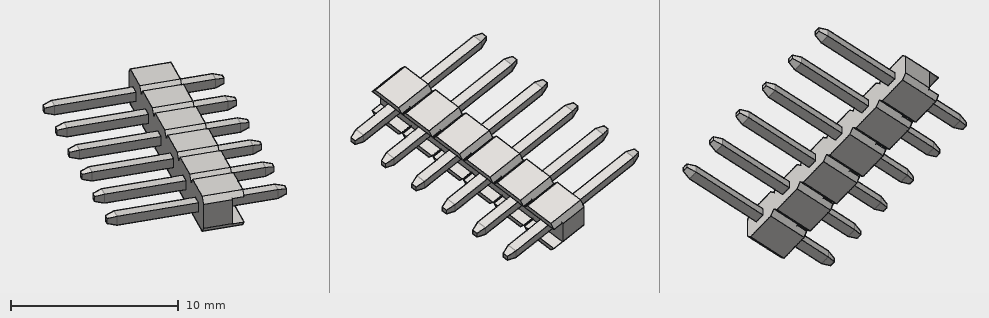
import cadquery as cq

PIN_COUNT = 6
PITCH = 2.54
HOUSING_LENGTH = PIN_COUNT * PITCH
HOUSING_DEPTH = 2.54
HOUSING_HEIGHT = 2.5
CHAMFER_X = 0.3
CHAMFER_Z = 0.4

CHANNEL_DEPTH = 0.73
CHANNEL_HEIGHT = 1.8

PIN_WIDTH = 0.64
TIP_WIDTH = 0.36
TIP_LENGTH = 0.58
FRONT_PROJECTION = 5.66
BACK_PROJECTION = 3.0
PIN_OFFSET_X = -0.1

FRONT_Y = -HOUSING_DEPTH / 2
BACK_Y = HOUSING_DEPTH / 2


def cell_center(index):
    """X position of the centre of one housing cell."""
    return (index - (PIN_COUNT - 1) / 2) * PITCH


def make_cell(center_x):
    """One octagonal cell; neighbouring cells form V grooves where they meet."""
    side_x = PITCH / 2
    flat_x = side_x - CHAMFER_X
    top_z = HOUSING_HEIGHT / 2
    side_z = top_z - CHAMFER_Z
    outline = [
        (-side_x, -side_z),
        (-flat_x, -top_z),
        (flat_x, -top_z),
        (side_x, -side_z),
        (side_x, side_z),
        (flat_x, top_z),
        (-flat_x, top_z),
        (-side_x, side_z),
    ]
    cell = cq.Workplane("XZ").polyline(outline).close().extrude(HOUSING_DEPTH / 2, both=True)
    return cell.translate((center_x, 0, 0))


def make_channel():
    """Cutter for the channel along the back of the housing."""
    channel = cq.Workplane("XY").box(HOUSING_LENGTH, CHANNEL_DEPTH, CHANNEL_HEIGHT)
    return channel.translate((0, BACK_Y - CHANNEL_DEPTH / 2, 0))


def make_tip(shoulder_y, direction):
    """Tapered pin tip from its shoulder outward; direction is +1 or -1 along Y."""
    plane = cq.Plane(origin=(0, shoulder_y, 0), xDir=(1, 0, 0), normal=(0, direction, 0))
    return (
        cq.Workplane(plane)
        .rect(PIN_WIDTH, PIN_WIDTH)
        .workplane(offset=TIP_LENGTH)
        .rect(TIP_WIDTH, TIP_WIDTH)
        .loft(ruled=True)
    )


def make_pin(center_x):
    """One pin passing through the housing, tapered at both ends."""
    front_shoulder = FRONT_Y - FRONT_PROJECTION + TIP_LENGTH
    back_shoulder = BACK_Y + BACK_PROJECTION - TIP_LENGTH
    shank = cq.Workplane("XY").box(PIN_WIDTH, back_shoulder - front_shoulder, PIN_WIDTH)
    shank = shank.translate((0, (front_shoulder + back_shoulder) / 2, 0))
    pin = shank.union(make_tip(front_shoulder, -1)).union(make_tip(back_shoulder, 1))
    return pin.translate((center_x, 0, 0))


housing = make_cell(cell_center(0))
for i in range(1, PIN_COUNT):
    housing = housing.union(make_cell(cell_center(i)))
housing = housing.clean().cut(make_channel())

result = housing
for i in range(PIN_COUNT):
    result = result.union(make_pin(cell_center(i) + PIN_OFFSET_X))